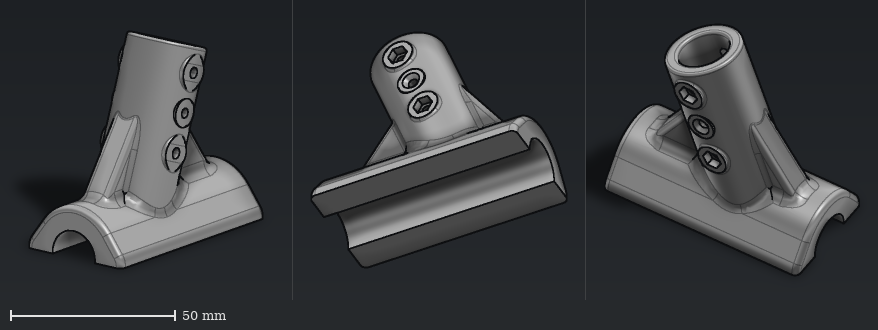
import cadquery as cq
import math

saddle_length = 70.0
saddle_axis_z = 0.5
crown_radius = 16.0
foot_radius = 6.0
foot_offset = 12.5
saddle_bore_diameter = 16.5
saddle_end_fillet = 2.0

tube_diameter = 25.0
tube_bore_diameter = 16.5
tube_tilt = 20.0
tube_center_y = 3.32
tube_center_z = 39.55
tube_top_reach = 20.63
tube_bore_depth = 41.2
tube_root_reach = 37.2
tube_rim_fillet = 1.0

web_thickness = 10.0
web_slope = 55.0
web_toe_y = 25.8
web_base_z = 12.0
web_edge_fillet = 2.0
web_tube_fillet = 2.0
root_fillet = 5.0

screw_pitch = 12.5
boss_diameter = 10.0
boss_base_x = 10.0
nut_boss_height = 0.5
boss_fillet = 1.0
nut_across_flats = 5.6
nut_pocket_depth = 3.0
clamp_hole_diameter = 3.4
pin_pad_diameter = 9.0
pin_hole_diameter = 3.05
countersink_diameter = 5.7
countersink_depth = 1.5

selection_margin = 0.1

tube_radius = tube_diameter / 2
saddle_top_z = saddle_axis_z + crown_radius
tilt = math.radians(tube_tilt)
tube_direction = cq.Vector(0, math.sin(tilt), math.cos(tilt))


def along_tube(distance):
    """Point on the tube axis, measured upward from the middle screw."""
    return (0, tube_center_y + distance * math.sin(tilt), tube_center_z + distance * math.cos(tilt))


def tube_plane(distance):
    """Plane square to the tube axis, facing up the tube."""
    return cq.Plane(origin=along_tube(distance), xDir=(1, 0, 0), normal=tube_direction)


def side_plane(distance, side, x):
    """Plane facing outward on one side (-1 or +1) of the tube at a screw position."""
    _, y, z = along_tube(distance)
    return cq.Plane(origin=(side * x, y, z), xDir=(0, 1, 0), normal=(side, 0, 0))


def make_saddle():
    cos_tangent = (crown_radius - foot_radius) / foot_offset
    sin_tangent = math.sqrt(1 - cos_tangent**2)
    crown_tangent = (crown_radius * cos_tangent, saddle_axis_z + crown_radius * sin_tangent)
    foot_tangent = (foot_offset + foot_radius * cos_tangent, saddle_axis_z + foot_radius * sin_tangent)
    foot_middle = (foot_offset + foot_radius, saddle_axis_z)
    foot_end = (foot_offset + math.sqrt(foot_radius**2 - saddle_axis_z**2), 0)

    def mirrored(point):
        return (-point[0], point[1])

    body = (
        cq.Workplane("XZ", origin=(0, saddle_length / 2, 0))
        .moveTo(*foot_end)
        .threePointArc(foot_middle, foot_tangent)
        .lineTo(*crown_tangent)
        .threePointArc((0, saddle_top_z), mirrored(crown_tangent))
        .lineTo(*mirrored(foot_tangent))
        .threePointArc(mirrored(foot_middle), mirrored(foot_end))
        .close()
        .extrude(saddle_length)
    )
    return body.faces("<Y or >Y").edges("not <Z").fillet(saddle_end_fillet)


def make_tube():
    return cq.Workplane(tube_plane(-tube_root_reach)).circle(tube_radius).extrude(tube_root_reach + tube_top_reach)


def make_web():
    slope = math.tan(math.radians(web_slope))
    apex_z = saddle_top_z + web_toe_y * slope
    base_y = web_toe_y + (saddle_top_z - web_base_z) / slope
    web = (
        cq.Workplane("YZ")
        .polyline([(-base_y, web_base_z), (base_y, web_base_z), (0, apex_z)])
        .close()
        .extrude(web_thickness / 2, both=True)
    )
    return web.faces("|X").edges("not <Z").fillet(web_edge_fillet)


def blend_web_into_tube(tube, web):
    """Tube and web joined, with a fillet up both sides of each rib and over its shoulder."""
    rib_seams = (
        tube.union(web)
        .edges(cq.selectors.ParallelDirSelector(tube_direction))
        .filter(lambda edge: abs(edge.Center().x) < web_thickness)
    )
    return rib_seams.fillet(web_tube_fillet)


def blend_into_saddle(saddle, tube, web):
    """Saddle, tube and web joined, with one fillet all round the root."""
    root_region = cq.selectors.BoxSelector(
        (-tube_radius - selection_margin, -web_toe_y - root_fillet, saddle_axis_z + foot_radius),
        (tube_radius + selection_margin, web_toe_y + root_fillet, saddle_top_z + selection_margin),
    )
    return saddle.union(tube).union(web).edges(root_region).fillet(root_fillet)


def add_screw_bosses(tube):
    """Filleted bosses: raised for the nut on the -X side, tangent to the tube on the +X side."""
    for distance in (-screw_pitch, screw_pitch):
        for side, height in ((-1, nut_boss_height), (1, 0)):
            plane = side_plane(distance, side, boss_base_x)
            boss = cq.Workplane(plane).circle(boss_diameter / 2).extrude(tube_radius + height - boss_base_x)
            _, y, z = along_tube(distance)
            boss_region = cq.selectors.BoxSelector(
                (0, y - boss_diameter, z - boss_diameter / 2),
                (side * (tube_radius - selection_margin), y + boss_diameter, z + boss_diameter / 2),
            )
            tube = tube.union(boss).edges(boss_region).edges("not #X").fillet(boss_fillet)
    return tube


def add_pin_pads(body):
    for side in (-1, 1):
        pad = (
            cq.Workplane(side_plane(0, side, boss_base_x))
            .circle(pin_pad_diameter / 2)
            .extrude(tube_radius - boss_base_x)
        )
        body = body.union(pad)
    return body


def cut_bores(body):
    saddle_bore = (
        cq.Workplane("XZ", origin=(0, saddle_length / 2, saddle_axis_z))
        .circle(saddle_bore_diameter / 2)
        .extrude(saddle_length)
    )
    tube_bore = cq.Workplane(tube_plane(tube_top_reach)).circle(tube_bore_diameter / 2).extrude(-tube_bore_depth)
    return body.cut(saddle_bore).cut(tube_bore)


def round_rim(body):
    rim = body.faces(cq.selectors.DirectionMinMaxSelector(tube_direction))
    return rim.edges().fillet(tube_rim_fillet)


def cut_screw_holes(body):
    for distance in (-screw_pitch, screw_pitch):
        face = side_plane(distance, -1, tube_radius + nut_boss_height)
        hole = cq.Workplane(face).circle(clamp_hole_diameter / 2).extrude(-2 * tube_diameter)
        across_corners = nut_across_flats / math.cos(math.pi / 6)
        pocket = cq.Workplane(face).polygon(6, across_corners).extrude(-nut_pocket_depth)
        body = body.cut(hole).cut(pocket)
    return body


def cut_pin_hole(body):
    face = side_plane(0, -1, tube_radius)
    hole = cq.Workplane(face).circle(pin_hole_diameter / 2).extrude(-2 * tube_diameter)
    cone = cq.Solid.makeCone(
        countersink_diameter / 2, pin_hole_diameter / 2, countersink_depth, pnt=face.origin, dir=(1, 0, 0)
    )
    return body.cut(hole).cut(cq.Workplane(cone))


def build():
    tube = make_tube()
    web = make_web()
    body = blend_into_saddle(make_saddle(), tube, web)
    body = body.union(blend_web_into_tube(tube, web))
    body = body.union(add_screw_bosses(tube))
    body = add_pin_pads(body)
    body = cut_bores(body)
    body = round_rim(body)
    body = cut_screw_holes(body)
    return cut_pin_hole(body)


result = build()